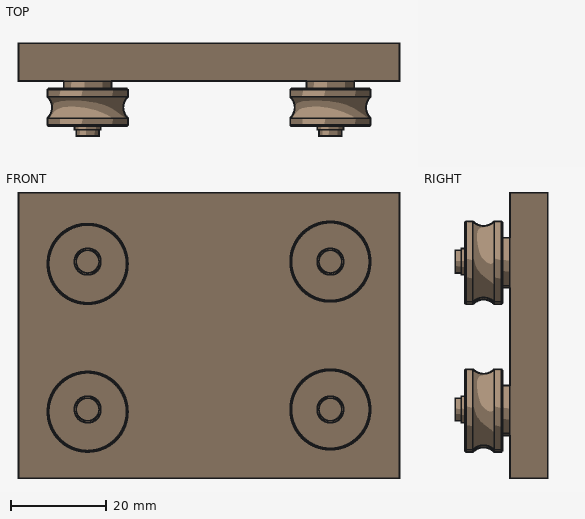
import cadquery as cq

plate_width = 80.0
plate_thickness = 8.0
plate_height = 60.0

axle_spacing_x = 51.0
axle_spacing_z = 31.0
eccentric_offset = 0.5

collar_length = 1.5
collar_radius = 5.0

wheel_width = 8.0
wheel_radius = 8.5
wheel_chamfer = 0.3
groove_width = 4.5
groove_depth = 1.0

washer_thickness = 0.7
washer_radius = 2.8
axle_radius = 2.4
axle_end_length = 2.0

wheel_front = collar_length + wheel_width


def disc(radius, start, length):
    """Cylinder around the wheel axis, running from Y = -start toward -Y."""
    return cq.Workplane("XZ", origin=(0, -start, 0)).circle(radius).extrude(length)


def grooved_wheel():
    """Wheel with chamfered rims and a round groove, revolved about the Y axis."""
    groove_middle = -(collar_length + wheel_width / 2)
    groove_back = groove_middle + groove_width / 2
    groove_front = groove_middle - groove_width / 2
    face_radius = wheel_radius - wheel_chamfer
    return (
        cq.Workplane("XY")
        .moveTo(0, -collar_length)
        .lineTo(face_radius, -collar_length)
        .lineTo(wheel_radius, -collar_length - wheel_chamfer)
        .lineTo(wheel_radius, groove_back)
        .threePointArc((wheel_radius - groove_depth, groove_middle), (wheel_radius, groove_front))
        .lineTo(wheel_radius, -wheel_front + wheel_chamfer)
        .lineTo(face_radius, -wheel_front)
        .lineTo(0, -wheel_front)
        .close()
        .revolve(360, (0, 0, 0), (0, 1, 0))
    )


def wheel_assembly(wheel_drop):
    """Collar, wheel, washer and axle end; the collar and wheel sit wheel_drop below the axle."""
    collar = disc(collar_radius, 0, collar_length)
    washer = disc(washer_radius, wheel_front, washer_thickness)
    axle_end = disc(axle_radius, wheel_front, axle_end_length)
    lowered = collar.union(grooved_wheel()).translate((0, 0, -wheel_drop))
    return lowered.union(washer).union(axle_end)


result = cq.Workplane("XY").box(plate_width, plate_thickness, plate_height)
result = result.translate((0, plate_thickness / 2, 0))

for side, wheel_drop in ((-1, eccentric_offset), (1, 0)):
    assembly = wheel_assembly(wheel_drop)
    for level in (-1, 1):
        axle_position = (side * axle_spacing_x / 2, 0, level * axle_spacing_z / 2)
        result = result.union(assembly.translate(axle_position))